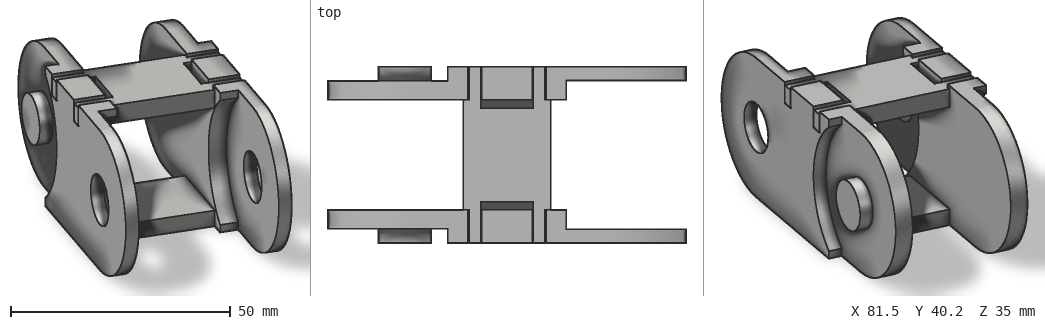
import cadquery as cq

length = 81.5
width = 40.2
height = 35.0
end_radius = height / 2
pivot_x = length / 2 - end_radius
pivot_radius = 6.0

inner_gap = 25.0
plate_inner_y = inner_gap / 2
plate_outer_y = width / 2
pin_layer = 4.3
hole_layer = 3.2
step_x = 13.5
relief_radius = 19.5
relief_reach = 5.7

bar_width = 20.0
floor_thickness = 4.0

slot_width = 3.2
slot_spacing = 14.6
slot_depth = 5.3
slot_clearance = 0.25
bar_recess = 0.7
notch_end_y = 10.7
bar_thickness = slot_depth - bar_recess
prong_width = slot_width - 2 * slot_clearance
notch_width = slot_spacing - prong_width

SIDES = (-1, 1)


def box(size_x, size_y, size_z, center):
    return cq.Workplane("XY").box(size_x, size_y, size_z).translate(center)


def y_cylinder(radius, x, y_start, y_end):
    """Cylinder along Y between two Y positions."""
    return (
        cq.Workplane("XZ", origin=(x, y_start, 0))
        .circle(radius)
        .extrude(y_start - y_end)
    )


def recess_tool(end, y_start, y_end):
    """Cutter for the thin end of a plate: a disc joined to a block that runs past the end."""
    block_length = length / 2 - step_x
    block_x = end * (step_x + block_length / 2)
    block = box(block_length, y_end - y_start, height, (block_x, (y_start + y_end) / 2, 0))
    disc_x = end * (relief_reach + relief_radius)
    disc = y_cylinder(relief_radius, disc_x, y_start, y_end)
    return block.union(disc)


def make_plate():
    """Side plate on the +Y side."""
    thickness = plate_outer_y - plate_inner_y
    plate = (
        cq.Workplane("XZ", origin=(0, plate_inner_y, 0))
        .slot2D(length, height)
        .extrude(-thickness)
    )
    plate = plate.cut(recess_tool(-1, plate_inner_y + pin_layer, plate_outer_y))
    plate = plate.cut(recess_tool(1, plate_inner_y, plate_outer_y - hole_layer))
    plate = plate.union(y_cylinder(pivot_radius, -pivot_x, plate_inner_y, plate_outer_y))
    plate = plate.cut(y_cylinder(pivot_radius, pivot_x, plate_inner_y, plate_outer_y))
    for side in SIDES:
        slot_x = side * slot_spacing / 2
        slot_center = (slot_x, plate_inner_y + thickness / 2, (height - slot_depth) / 2)
        plate = plate.cut(box(slot_width, thickness, slot_depth, slot_center))
    return plate


def make_link():
    """Both side plates joined by the fixed floor."""
    plate = make_plate()
    floor = box(bar_width, inner_gap, floor_thickness, (0, 0, (floor_thickness - height) / 2))
    return floor.union(plate).union(plate.mirror("XZ"))


def make_cross_bar():
    """Bar between the plates, notched at both ends, with prongs resting in the plate slots."""
    bar_z = height / 2 - bar_recess - bar_thickness / 2
    bar = box(bar_width, inner_gap, bar_thickness, (0, 0, bar_z))
    for side in SIDES:
        prong_x = side * slot_spacing / 2
        bar = bar.union(box(prong_width, width, bar_thickness, (prong_x, 0, bar_z)))
    notch_depth = plate_outer_y - notch_end_y
    for side in SIDES:
        notch_y = side * (notch_end_y + notch_depth / 2)
        bar = bar.cut(box(notch_width, notch_depth, bar_thickness, (0, notch_y, bar_z)))
    return bar


link = make_link()
cross_bar = make_cross_bar()

result = cq.Compound.makeCompound([link.val(), cross_bar.val()])